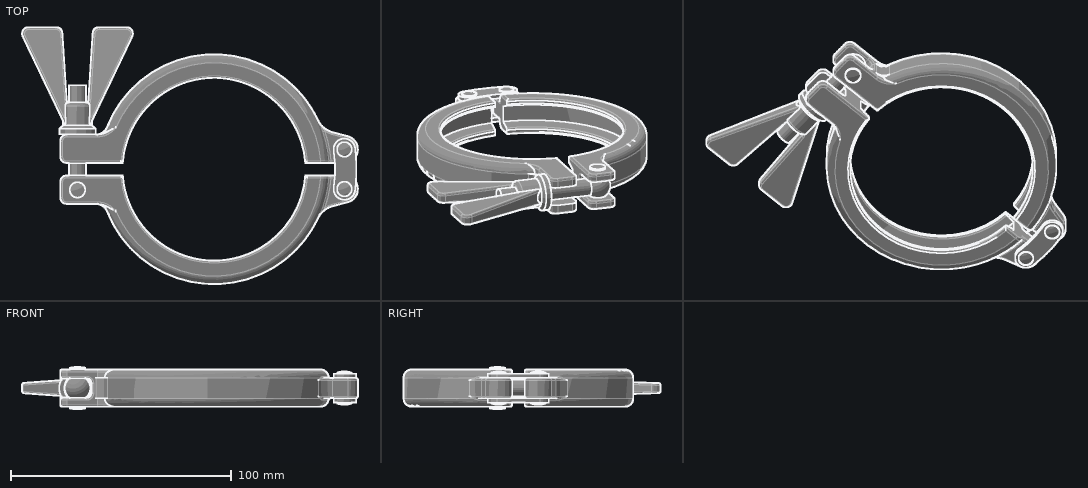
import cadquery as cq
import math


ring_outer_radius = 52.25
ring_inner_radius = 41.5
ring_half_height = 8.5
ring_outer_round = 3.8
half_gap = 2.8
edge_round = 1.0

groove_radius = 46.5
groove_mouth_half = 5.5
groove_flank_angle = 20.0

lug_end_x = -69.9
lug_outer_y = 15.8
lug_inner_x = -44.0
lug_corner_radius = 3.0
lug_top_blend_radius = 9.0
lug_side_blend_radius = 5.4
slot_end_x = -55.6
pivot_slot_half_height = 4.5
closing_slot_half_height = 4.2
slot_corner_radius = 2.4
slot_rim_round = 0.9

knuckle_radius = 6.2
knuckle_x = 59.2
knuckle_y = half_gap + knuckle_radius
knuckle_half_height = 4.6
knuckle_slope = 15.0
knuckle_blend_radius = 10.0
link_end_radius = 4.9
link_thickness = 2.0
link_pin_radius = 3.35
link_pin_rim = 7.0
link_pin_apex = 7.6

bolt_x = -62.0
bolt_radius = 3.9
bolt_end_y = 38.2
pivot_y = -9.4
ball_radius = 5.8
pivot_pin_radius = 3.5
pivot_pin_rim = 9.25
pivot_pin_apex = 9.65

seat_radius = 6.0
seat_depth = 1.4
flange_radius = 8.3
flange_top_y = 18.4
flange_cone_top_y = 19.9
hub_radius = 6.6
hub_top_y = 30.4
hub_round = 1.5

wing_top_y = 64.58
wing_top_inner = 7.0
wing_top_outer = 26.97
wing_inner_slope = 0.064
wing_outer_slope = 0.478
wing_corner_radius = 3.0
wing_base_y = 20.0
wing_base_half = 3.85
wing_tip_half = 2.3
wing_edge_round = 1.0

near = 0.05


def domed_pin(x, y, radius, rim, apex):
    """Pin along Z, with a shallow dome on each end."""
    sagitta = apex - rim
    dome_radius = (radius**2 + sagitta**2) / (2 * sagitta)
    ball = cq.Workplane("XY").sphere(dome_radius)
    shaft = cq.Workplane("XY").circle(radius).extrude(2 * apex).translate((0, 0, -apex))
    for side in (1, -1):
        shaft = shaft.intersect(ball.translate((0, 0, side * (apex - dome_radius))))
    return shaft.translate((x, y, 0))


def polar(radius, angle):
    """Point at a radius and an angle in degrees about the ring centre."""
    return radius * math.cos(math.radians(angle)), radius * math.sin(math.radians(angle))


def blend_to_ring(line_y, arc_radius, circle_radius):
    """Concave arc from the line y = line_y, on the -X side, to a circle about the ring centre.

    Returns its start on the line, its middle and its end on the circle.
    """
    centre_y = line_y + arc_radius
    centre_x = -math.sqrt((circle_radius + arc_radius) ** 2 - centre_y**2)
    towards_ring = math.atan2(-centre_y, -centre_x)
    middle_angle = (towards_ring - math.pi / 2) / 2
    start = (centre_x, line_y)
    middle = (centre_x + arc_radius * math.cos(middle_angle), centre_y + arc_radius * math.sin(middle_angle))
    end = (centre_x + arc_radius * math.cos(towards_ring), centre_y + arc_radius * math.sin(towards_ring))
    return start, middle, end


def edges_inside(low, high):
    """Selector for the edges that lie wholly between two corners."""
    low = [value - near for value in low]
    high = [value + near for value in high]
    return cq.selectors.BoxSelector(low, high, boundingbox=True)


def both_ways(outline, half_height):
    """Extrude a closed outline evenly above and below the XY plane."""
    return outline.extrude(half_height, both=True)


def half_disc():
    """Solid half ring before boring, with rounded outer and gap edges."""
    disc = both_ways(cq.Workplane("XY").circle(ring_outer_radius), ring_half_height)
    disc = disc.edges().fillet(ring_outer_round)
    size = 2 * ring_outer_radius
    upper = cq.Workplane("XY").box(size, size, size).translate((0, half_gap + size / 2, 0))
    return disc.intersect(upper).faces("<Y").edges().fillet(edge_round)


def ring_bore():
    """Cutter for the bore, its rounded mouths and the groove with sloping flanks."""
    flank_rise = (groove_radius - ring_inner_radius) * math.tan(math.radians(groove_flank_angle))
    wall_half = groove_mouth_half - flank_rise
    top = ring_half_height
    lip_z = top - edge_round
    mouth_radius = ring_inner_radius + edge_round
    bore = (
        cq.Workplane("XZ")
        .moveTo(0, -top)
        .lineTo(mouth_radius, -top)
        .radiusArc((ring_inner_radius, -lip_z), edge_round)
        .lineTo(ring_inner_radius, -groove_mouth_half)
        .lineTo(groove_radius, -wall_half)
        .lineTo(groove_radius, wall_half)
        .lineTo(ring_inner_radius, groove_mouth_half)
        .lineTo(ring_inner_radius, lip_z)
        .radiusArc((mouth_radius, top), edge_round)
        .lineTo(0, top)
        .close()
        .revolve(360, (0, 0, 0), (0, 1, 0))
    )
    reach = ring_inner_radius
    for z in (groove_mouth_half, -groove_mouth_half):
        bore = bore.edges(edges_inside((-reach, -reach, z), (reach, reach, z))).fillet(edge_round)
    return bore


def bolt_lug():
    """Slotted lug on the -X side, blended into the ring."""
    merge_radius = ring_outer_radius - ring_outer_round + edge_round
    start, middle, end = blend_to_ring(lug_outer_y, lug_top_blend_radius, merge_radius)
    lug = both_ways(
        cq.Workplane("XY")
        .moveTo(lug_end_x, half_gap)
        .lineTo(lug_end_x, lug_outer_y)
        .lineTo(*start)
        .threePointArc(middle, end)
        .lineTo(lug_inner_x, half_gap)
        .close(),
        ring_half_height,
    )
    lug = lug.edges("|Z and <X").fillet(lug_corner_radius)
    lug = lug.faces("|Z").edges("not >X").fillet(edge_round)

    start, middle, end = blend_to_ring(lug_outer_y, lug_side_blend_radius, ring_outer_radius)
    side_blend = both_ways(
        cq.Workplane("XY").moveTo(*start).threePointArc(middle, end).lineTo(end[0], start[1]).close(),
        ring_half_height - ring_outer_round,
    )
    return lug.union(side_blend)


def bolt_slot(half_height):
    """Cutter for the bolt slot, which runs along Y and opens on the -X end of the lug."""
    length = slot_end_x - 2 * lug_end_x
    return (
        cq.Workplane("XY")
        .box(length, 2 * lug_outer_y, 2 * half_height)
        .edges("|Y and >X")
        .fillet(slot_corner_radius)
        .translate((slot_end_x - length / 2, lug_outer_y, 0))
    )


def slot_rim(half_height):
    """Selector for the edges of the slot where it leaves the lug."""
    corner_end_x = lug_end_x + lug_corner_radius
    rim = edges_inside((lug_end_x, half_gap, -half_height), (corner_end_x, lug_outer_y, half_height))
    for y in (half_gap, lug_outer_y):
        rim = rim + edges_inside((lug_end_x, y, -half_height), (slot_end_x, y, half_height))
    return rim


def hinge_lug():
    """Knuckle on the +X side, blended into the outside of the ring."""
    slope = math.radians(knuckle_slope)
    normal = (math.sin(slope), math.cos(slope))
    tangent = (knuckle_x + knuckle_radius * normal[0], knuckle_y + knuckle_radius * normal[1])
    offset = knuckle_radius + knuckle_blend_radius
    off_side = knuckle_x * normal[0] + knuckle_y * normal[1] + offset
    along = math.sqrt((ring_outer_radius + knuckle_blend_radius) ** 2 - off_side**2)
    centre = (off_side * normal[0] + along * normal[1], off_side * normal[1] - along * normal[0])
    blend_start = (centre[0] - knuckle_blend_radius * normal[0], centre[1] - knuckle_blend_radius * normal[1])
    ring_share = ring_outer_radius / (ring_outer_radius + knuckle_blend_radius)
    blend_end = (centre[0] * ring_share, centre[1] * ring_share)
    lug = both_ways(
        cq.Workplane("XY")
        .moveTo(blend_end[0], half_gap)
        .lineTo(knuckle_x, half_gap)
        .threePointArc((knuckle_x + knuckle_radius, knuckle_y), tangent)
        .lineTo(*blend_start)
        .radiusArc(blend_end, knuckle_blend_radius)
        .close(),
        knuckle_half_height,
    )
    return lug.faces("|Z").edges("not <X").fillet(edge_round)


def hinged_disc():
    """Solid half ring with the hinge lug, and a small fillet where the two meet."""
    body = half_disc().union(hinge_lug())
    first_y = half_gap + edge_round + 2 * near
    for z in (knuckle_half_height, -knuckle_half_height):
        seam = edges_inside((0, first_y, z), (ring_outer_radius, ring_outer_radius, z))
        body = body.edges(seam).fillet(edge_round)
    return body


def unbored_half():
    """Half of the clamp on the +Y side with both lugs, before boring and slotting."""
    return hinged_disc().union(bolt_lug())


def closing_half():
    """Upper (+Y) half, with a sharp slot and a conical seat for the wing nut."""
    half = unbored_half().cut(bolt_slot(closing_slot_half_height))
    return half.cut(ring_bore()).cut(nut_seat().translate((bolt_x, 0, 0))).cut(link_pin(1))


def pivot_half():
    """Lower (-Y) half, with a rounded slot and the hole for the pivot pin."""
    half = unbored_half().cut(bolt_slot(pivot_slot_half_height))
    half = half.edges(slot_rim(pivot_slot_half_height)).fillet(slot_rim_round).cut(ring_bore())
    return half.mirror("XZ").cut(link_pin(-1)).cut(pivot_pin())


def link_pin(side):
    """Hinge pin of the upper (side 1) or lower (side -1) half."""
    return domed_pin(knuckle_x, side * knuckle_y, link_pin_radius, link_pin_rim, link_pin_apex)


def pivot_pin():
    """Pin on which the swing bolt turns."""
    return domed_pin(bolt_x, pivot_y, pivot_pin_radius, pivot_pin_rim, pivot_pin_apex)


def hinge_link():
    """Two curved link plates joined by the two hinge pins."""
    pin_angle = math.degrees(math.atan2(knuckle_y, knuckle_x))
    path_radius = math.hypot(knuckle_x, knuckle_y)
    outer = path_radius + link_end_radius
    inner = path_radius - link_end_radius
    plate = (
        cq.Workplane("XY")
        .moveTo(*polar(outer, -pin_angle))
        .threePointArc((outer, 0), polar(outer, pin_angle))
        .radiusArc(polar(inner, pin_angle), -link_end_radius)
        .threePointArc((inner, 0), polar(inner, -pin_angle))
        .radiusArc(polar(outer, -pin_angle), -link_end_radius)
        .close()
        .extrude(link_thickness)
        .translate((0, 0, knuckle_half_height))
    )
    return plate.union(plate.mirror("XY")).union(link_pin(1)).union(link_pin(-1))


def wing():
    """Right-hand wing of the nut, about the bolt axis: a tapered plate with rounded edges."""
    wing_height = wing_top_y - wing_base_y
    outline = both_ways(
        cq.Workplane("XY")
        .moveTo(0, wing_base_y)
        .lineTo(wing_top_outer - wing_outer_slope * wing_height, wing_base_y)
        .lineTo(wing_top_outer, wing_top_y)
        .lineTo(wing_top_inner, wing_top_y)
        .lineTo(wing_top_inner - wing_inner_slope * (wing_top_y - hub_top_y), hub_top_y)
        .lineTo(0, hub_top_y)
        .close(),
        wing_base_half,
    )
    outline = outline.edges("|Z and >Y").fillet(wing_corner_radius)
    taper = (
        cq.Workplane("YZ")
        .moveTo(wing_base_y, -wing_base_half)
        .lineTo(wing_top_y, -wing_tip_half)
        .lineTo(wing_top_y, wing_tip_half)
        .lineTo(wing_base_y, wing_base_half)
        .close()
        .extrude(wing_top_outer)
    )
    return outline.intersect(taper).faces("#X").edges().fillet(wing_edge_round)


def nut_seat():
    """Cone under the wing nut, about the Y axis, narrowing to the bolt."""
    return (
        cq.Workplane("XY")
        .moveTo(0, lug_outer_y - seat_depth)
        .lineTo(bolt_radius, lug_outer_y - seat_depth)
        .lineTo(seat_radius, lug_outer_y)
        .lineTo(0, lug_outer_y)
        .close()
        .revolve(360, (0, 0, 0), (0, 1, 0))
    )


def nut_body():
    """Flanged hub of the wing nut, about the Y axis."""
    return (
        cq.Workplane("XY")
        .moveTo(0, lug_outer_y)
        .lineTo(flange_radius, lug_outer_y)
        .lineTo(flange_radius, flange_top_y)
        .lineTo(hub_radius, flange_cone_top_y)
        .lineTo(hub_radius, hub_top_y - hub_round)
        .radiusArc((hub_radius - hub_round, hub_top_y), -hub_round)
        .lineTo(0, hub_top_y)
        .close()
        .revolve(360, (0, 0, 0), (0, 1, 0))
    )


def swing_bolt():
    """Ball-ended bolt with its pivot pin and wing nut."""
    rod = cq.Workplane("XZ").circle(bolt_radius).extrude(pivot_y - bolt_end_y).translate((0, pivot_y, 0))
    ball_space = cq.Workplane("XY").box(4 * ball_radius, 4 * ball_radius, 2 * pivot_slot_half_height)
    ball = cq.Workplane("XY").sphere(ball_radius).intersect(ball_space).translate((0, pivot_y, 0))
    bolt = rod.union(ball).union(nut_seat()).union(nut_body()).union(wing()).union(wing().mirror("YZ"))
    return bolt.translate((bolt_x, 0, 0)).union(pivot_pin())


upper_half = closing_half()
lower_half = pivot_half()
link = hinge_link()
bolt = swing_bolt()

bodies = [upper_half, lower_half, link, bolt]
result = cq.Compound.makeCompound([body.solids().val() for body in bodies])